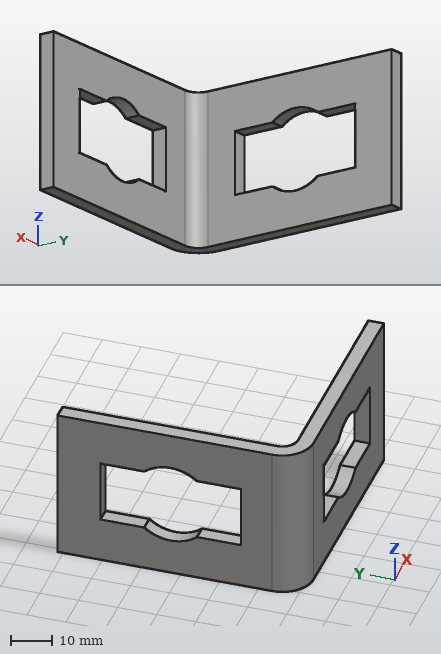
import cadquery as cq

leg_length = 63.0
height = 40.0
outer_bend_radius = 8.0
thickness = outer_bend_radius / 2
inner_bend_radius = outer_bend_radius - thickness

slot_length = 36.0
slot_height = 16.4
hole_diameter = 21.2
opening_offset = 34.0


def rounded_block(corner, bend_radius):
    """Full-height square block starting at (corner, corner), rounded along that vertical edge."""
    return (
        cq.Workplane("XY", origin=(corner, corner, 0))
        .box(leg_length, leg_length, height, centered=False)
        .edges("|Z and <X and <Y")
        .fillet(bend_radius)
    )


def bent_sheet():
    """L-shaped sheet with legs along +X and +Y and a rounded bend between them."""
    return rounded_block(0, outer_bend_radius).cut(rounded_block(thickness, inner_bend_radius))


def opening_cutter():
    """Cutter for the opening in the leg along X, as deep as the sheet is thick."""
    middle = cq.Workplane("XZ", origin=(opening_offset, 0, height / 2))
    slot = middle.rect(slot_length, slot_height).extrude(-thickness)
    hole = middle.circle(hole_diameter / 2).extrude(-thickness)
    return slot.union(hole)


x_leg_cutter = opening_cutter()
y_leg_cutter = x_leg_cutter.rotate((0, 0, 0), (0, 0, 1), 90).translate((thickness, 0, 0))

result = bent_sheet().cut(x_leg_cutter).cut(y_leg_cutter)